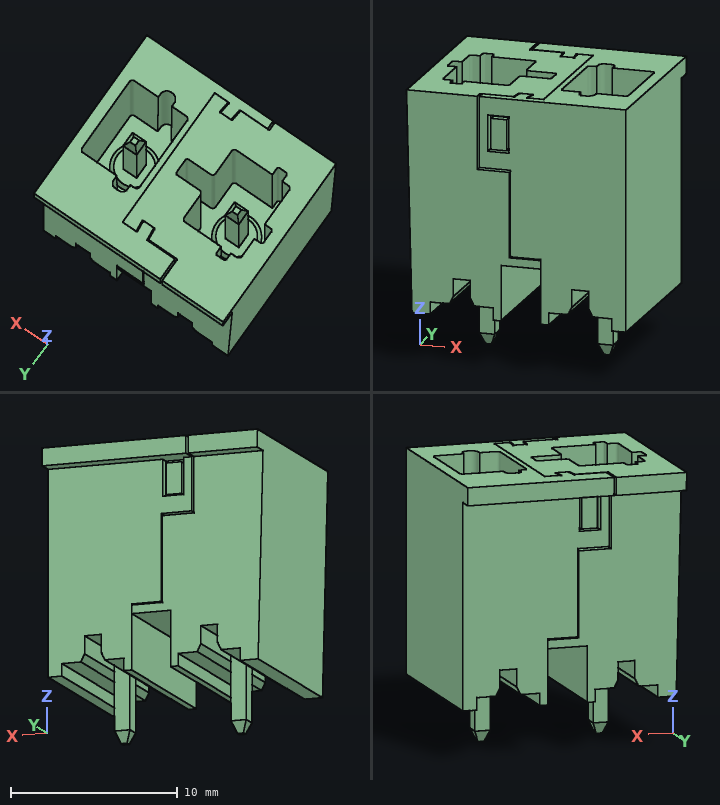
import cadquery as cq

width = 13.9
depth = 10.9
top_z = 17.15
foot_z = 3.17
flange_reach = 1.0
flange_height = 1.11
left_draft = 0.35

pin_size = 1.0
pin_pitch = 7.5
left_pin_x = 3.5
right_pin_x = left_pin_x + pin_pitch
pin_y = depth / 2
pin_top_z = 15.26
tip_length = 0.74
tip_size = 0.4
recess_half_width = 1.99
recess_top_z = 3.95
groove_half_width = 0.53
groove_top_z = 5.54
groove_mouth_half_width = 0.77
groove_mouth_top_z = 4.42

left_seam_x = 4.48
left_mid_x = 6.52
upper_step_z = 12.55
lower_step_z = 7.19
seam_gap = 0.14
narrow_gap = 0.07
leg_gap_left_x = 5.99
leg_gap_right_x = 8.49
leg_gap_top_z = 6.65
arm_thickness = 0.6
tongue_front_y = arm_thickness
tongue_back_y = depth - arm_thickness

hook_left_x = left_mid_x + 2 * narrow_gap
hook_width = 0.77
hook_depth = 0.79
hook_lean = 0.09

pocket_width = 4.22
pocket_length = 5.4
pocket_floor_z = 7.89
pocket_corner = 0.2
boss_base_diameter = 3.0
boss_top_diameter = 2.5
boss_height = (boss_base_diameter - boss_top_diameter) / 2

end_key_x = 2.4
end_key_width = 0.72
end_key_reach = 0.58
side_key_y = 6.07
side_key_width = 1.08
side_key_reach = 0.58
slot_width = 1.18
slot_reach = 1.97
key_corner = 0.14

back_key_x = 9.91
front_key_x = 10.63
round_key_width = 1.0
round_key_reach = 0.69
back_key_corner = 0.35
front_key_corner = 0.45
straight_height = 0.27
wall_inset = 0.07

latch_x = 5.81
window_width = 1.34
window_height = 2.28
window_bottom_z = top_z - flange_height - window_height
tab_width = 1.0
tab_height = 1.95
tab_bottom_gap = 0.1
tab_recess = 0.1


def box(x0, x1, y0, y1, z0, z1):
    """Box between two opposite corners."""
    return cq.Workplane("XY").box(x1 - x0, y1 - y0, z1 - z0, centered=False).translate((x0, y0, z0))


def side_profile(points, y_length=depth):
    """Prism from the front face toward +Y, from an XZ outline."""
    return cq.Workplane("XZ").polyline(points).close().extrude(-y_length)


def cut_underside(half, pin_x):
    """Recess and flared groove under one half, running through in Y."""
    recess = box(pin_x - recess_half_width, pin_x + recess_half_width, 0, depth, 0, recess_top_z)
    groove = side_profile([
        (pin_x - groove_mouth_half_width, recess_top_z),
        (pin_x - groove_half_width, groove_mouth_top_z),
        (pin_x - groove_half_width, groove_top_z),
        (pin_x + groove_half_width, groove_top_z),
        (pin_x + groove_half_width, groove_mouth_top_z),
        (pin_x + groove_mouth_half_width, recess_top_z),
    ])
    return half.cut(recess).cut(groove)


def rear_flange(x0, x1):
    """Stretch of the flange along the top of the back face."""
    return box(x0, x1, depth, depth + flange_reach, top_z - flange_height, top_z)


def hook_pair(x0, x1, bottom_z):
    """Pair of leaning hooks, front and back, growing from the arms into the tongue."""
    def one_hook(root_y, tip_y):
        return (cq.Workplane("XY").workplane(offset=bottom_z)
                .polyline([(x0, root_y), (x1, root_y), (x1 + hook_lean, tip_y), (x0 + hook_lean, tip_y)])
                .close().extrude(top_z - bottom_z))

    front = one_hook(tongue_front_y, tongue_front_y + hook_depth)
    back = one_hook(tongue_back_y, tongue_back_y - hook_depth)
    return front, back


def latch_pair(size_x, bottom_z, size_z, recess):
    """Blocks across the front and back arms, sunk by `recess` from the outer faces."""
    x0 = latch_x - size_x / 2
    x1 = latch_x + size_x / 2
    front = box(x0, x1, recess, tongue_front_y, bottom_z, bottom_z + size_z)
    back = box(x0, x1, tongue_back_y, depth - recess, bottom_z, bottom_z + size_z)
    return front, back


def keyway(x0, x1, y0, y1, rounded_edges, radius):
    """Keyway beside a pocket, rounded along its outer edges."""
    return box(x0, x1, y0, y1, pocket_floor_z, top_z).edges("|Z").edges(rounded_edges).fillet(radius)


def boss(pin_x):
    """Conical boss on the pocket floor around the pin."""
    return (cq.Workplane("XY").workplane(offset=pocket_floor_z).center(pin_x, pin_y)
            .circle(boss_base_diameter / 2)
            .workplane(offset=boss_height).circle(boss_top_diameter / 2).loft())


def pin_hole(pin_x):
    """Square hole that the pin fills, from the groove up through the boss."""
    half = pin_size / 2
    return box(pin_x - half, pin_x + half, pin_y - half, pin_y + half, foot_z, top_z)


def left_pocket():
    """Straight-walled pocket with three keyways and a deep side slot."""
    x0 = left_pin_x - pocket_width / 2
    x1 = left_pin_x + pocket_width / 2
    y0 = pin_y - pocket_length / 2
    y1 = pin_y + pocket_length / 2
    key_x0 = end_key_x - end_key_width / 2
    key_x1 = end_key_x + end_key_width / 2
    side_y0 = side_key_y - side_key_width / 2
    side_y1 = side_key_y + side_key_width / 2
    slot_y0 = pin_y - slot_width / 2
    slot_y1 = pin_y + slot_width / 2

    slot = keyway(left_pin_x, x1 + slot_reach, slot_y0, slot_y1, ">X", key_corner)
    main = box(x0, x1, y0, y1, pocket_floor_z, top_z)
    main_corners_and_mouth = cq.selectors.BoxSelector((x0 - key_corner, y0 - key_corner, 0),
                                                      (x1 + key_corner, y1 + key_corner, top_z))
    pocket = main.union(slot).edges("|Z").edges(main_corners_and_mouth).fillet(pocket_corner)

    back_key = keyway(key_x0, key_x1, pin_y, y1 + end_key_reach, ">Y", key_corner)
    front_key = keyway(key_x0, key_x1, y0 - end_key_reach, pin_y, "<Y", key_corner)
    side_key = keyway(x0 - side_key_reach, left_pin_x, side_y0, side_y1, "<X", key_corner)
    return pocket.union(back_key).union(front_key).union(side_key)


def right_pocket():
    """Pocket with drafted walls below a straight rim, and two rounded keyways."""
    y0 = pin_y - pocket_length / 2
    y1 = pin_y + pocket_length / 2
    half_key = round_key_width / 2
    bend_z = top_z - straight_height
    rim = cq.Sketch().rect(pocket_width, pocket_length).vertices().fillet(pocket_corner)
    floor = (cq.Sketch().rect(pocket_width - 2 * wall_inset, pocket_length - 2 * wall_inset)
             .vertices().fillet(pocket_corner))
    drop = cq.Location(cq.Vector(0, 0, pocket_floor_z - bend_z))
    bend = cq.Workplane("XY", origin=(right_pin_x, pin_y, bend_z))
    straight = bend.placeSketch(rim).extrude(straight_height)
    drafted = bend.placeSketch(rim, floor.moved(drop)).loft()
    back_key = keyway(back_key_x - half_key, back_key_x + half_key, pin_y, y1 + round_key_reach,
                      ">Y", back_key_corner)
    front_key = keyway(front_key_x - half_key, front_key_x + half_key, y0 - round_key_reach, pin_y,
                       "<Y", front_key_corner)
    return straight.union(drafted).union(back_key).union(front_key)


def make_left_half():
    """Half with the tongue, which slides between the arms of the right half."""
    outline = side_profile([
        (0, top_z),
        (left_seam_x, top_z),
        (left_seam_x, upper_step_z),
        (left_mid_x, upper_step_z),
        (left_mid_x, lower_step_z),
        (leg_gap_right_x, lower_step_z),
        (leg_gap_right_x, leg_gap_top_z),
        (leg_gap_left_x, leg_gap_top_z),
        (leg_gap_left_x, foot_z),
        (0, foot_z),
    ])
    tongue = box(left_pin_x, leg_gap_right_x, tongue_front_y, tongue_back_y, leg_gap_top_z, top_z)
    lean = side_profile([(0, top_z), (left_draft, foot_z), (0, foot_z)], depth + flange_reach)
    half = outline.union(tongue).union(rear_flange(0, left_seam_x)).cut(lean)
    slot_x0 = hook_left_x - narrow_gap
    slot_x1 = hook_left_x + hook_width + narrow_gap
    for slot in hook_pair(slot_x0, slot_x1, lower_step_z):
        half = half.cut(slot)
    tab_bottom_z = window_bottom_z + tab_bottom_gap
    for tab in latch_pair(tab_width, tab_bottom_z, tab_height, tab_recess):
        half = half.union(tab)
    half = cut_underside(half, left_pin_x)
    return half.cut(left_pocket()).union(boss(left_pin_x)).cut(pin_hole(left_pin_x))


def make_right_half():
    """Half with two side arms, which hold the tongue of the left half."""
    arm_x = left_seam_x + seam_gap
    mid_x = left_mid_x + narrow_gap
    lower_z = lower_step_z + narrow_gap
    outline = side_profile([
        (arm_x, top_z),
        (width, top_z),
        (width, foot_z),
        (leg_gap_right_x, foot_z),
        (leg_gap_right_x, lower_z),
        (mid_x, lower_z),
        (mid_x, upper_step_z + seam_gap),
        (arm_x, upper_step_z + seam_gap),
    ])
    tongue_space = box(0, leg_gap_right_x, tongue_front_y, tongue_back_y, 0, top_z)
    half = outline.union(rear_flange(arm_x, width)).cut(tongue_space)

    back_clearance = box(0, hook_left_x, tongue_back_y, tongue_back_y + narrow_gap, 0, top_z)
    half = half.cut(back_clearance)
    for hook in hook_pair(hook_left_x, hook_left_x + hook_width, lower_z):
        half = half.union(hook)
    half = cut_underside(half, right_pin_x)
    half = half.cut(right_pocket()).union(boss(right_pin_x)).cut(pin_hole(right_pin_x))
    for window in latch_pair(window_width, window_bottom_z, window_height, 0):
        half = half.cut(window)
    return half


def make_pin(pin_x):
    """Square pin with a tapered tip at each end."""
    def tip(base_z, reach):
        return (cq.Workplane("XY").workplane(offset=base_z).rect(pin_size, pin_size)
                .workplane(offset=reach).rect(tip_size, tip_size).loft())

    shank_top_z = pin_top_z - tip_length
    shank = (cq.Workplane("XY").workplane(offset=tip_length)
             .rect(pin_size, pin_size).extrude(shank_top_z - tip_length))
    pin = shank.union(tip(shank_top_z, tip_length)).union(tip(tip_length, -tip_length))
    return pin.translate((pin_x, pin_y, 0))


left_half = make_left_half()
right_half = make_right_half()
pins = [make_pin(pin_x) for pin_x in (left_pin_x, right_pin_x)]

result = cq.Compound.makeCompound([
    left_half.val(),
    right_half.val(),
    *[pin.val() for pin in pins],
])